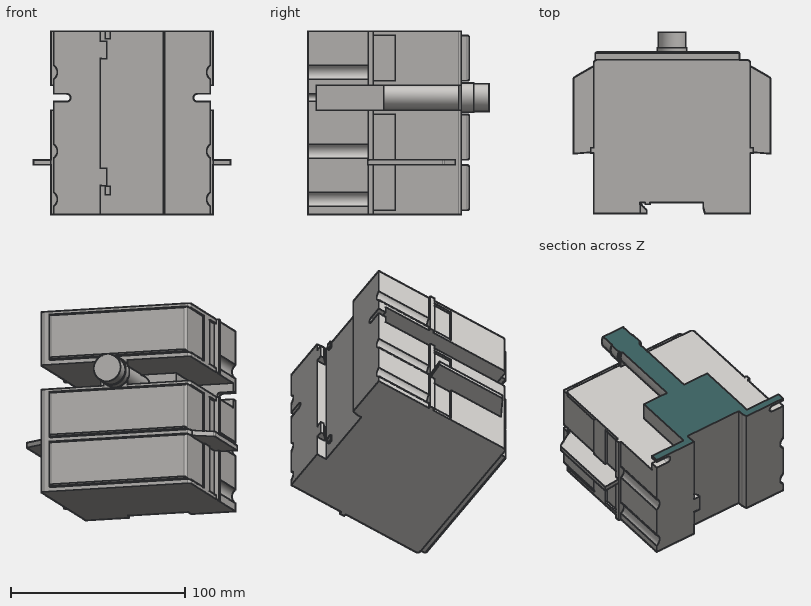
import cadquery as cq
import math


body_half_width = 45.0
body_depth = 88.0
body_height = 105.2
body_corner_radius = 1.9

axis_z = 67.0
channel_height = 14.2
channel_bottom = axis_z - channel_height / 2
back_wall = 4.7
core_half_width = 22.6
core_end = 43.4
flange_thickness = 1.5

knob_radius = 8.0
knob_tip = 104.0
collar_radius = 8.5
collar_tip = 95.0

cover_left = -44.1
cover_right = 38.8
cover_front = 92.7
cover_side_start = 60.9
cover_side_thickness = 2.3
cover_height = 26.1
cover_edge_radius = 1.5
cover_edge_chamfer = 0.9
cover_bottoms = (2.4, 31.4, 76.6)

rib_half_width = 46.4
rib_start = 34.7
rib_end = 37.6
pocket_end = 50.1
pocket_depth = 1.4

groove_half_height = 4.1
groove_depth = 2.1
groove_centers = (8.8, 36.4, 81.6)

plate_half_width = 56.5
plate_bottom = cover_bottoms[0] + cover_height
plate_thickness = cover_bottoms[1] - plate_bottom
plate_heel_root = 35.1
plate_heel_tip = 34.2
plate_tip = 77.9
plate_slope = math.radians(30)
plate_tip_radius = 1.4

slot_width = 4.3
slot_end = 35.3

notch_left = -18.3
notch_right = 17.9
notch_depth = 6.2
notch_flare = 0.9
notch_flare_depth = 3.5
tab_tip = -14.5
tab_tip_height = 1.9
tab_root_x = -17.6
tab_root_height = 5.2
tab_height = 10.1
tab_bottoms = (16.6, 89.4)
pad_left = -15.4
pad_right = -12.5
pad_face = 5.2
pad_spans = ((11.3, 16.2), (100.8, body_height))


def block(x_span, y_span, z_span):
    """Box between two limits along each axis."""
    size = [high - low for low, high in (x_span, y_span, z_span)]
    corner = (x_span[0], y_span[0], z_span[0])
    return cq.Workplane("XY").box(*size, centered=False).translate(corner)


def cylinder(radius, y_start, y_end):
    """Cylinder on the knob axis, parallel to Y."""
    plane = cq.Workplane("XZ", origin=(0, y_end, axis_z))
    return plane.circle(radius).extrude(y_end - y_start)


def both_sides(shape):
    """The shape together with its mirror image across the YZ plane."""
    return shape.union(shape.mirror("YZ"))


def make_body():
    body = block((-body_half_width, body_half_width), (0, body_depth), (0, body_height))
    body = body.edges(">Y and |Z").fillet(body_corner_radius)
    ribs = block((-rib_half_width, rib_half_width), (rib_start, rib_end), (0, body_height))
    return body.union(ribs)


def make_channel():
    """Channel across the full width, leaving a core behind the rail notch."""
    z_span = (channel_bottom, channel_bottom + channel_height)
    channel = block((-rib_half_width, rib_half_width), (back_wall, body_depth), z_span)
    return channel.cut(block((-core_half_width, core_half_width), (back_wall, core_end), z_span))


def make_operating_shaft():
    """Shaft, flange, collar and knob along the channel axis."""
    radius = channel_height / 2
    x_span = (-radius, radius)
    z_span = (channel_bottom, channel_bottom + channel_height)
    flange_start = body_depth - flange_thickness
    drive = cylinder(radius, core_end, flange_start)
    drive = drive.union(block(x_span, (flange_start, body_depth), z_span))
    drive = drive.union(cylinder(collar_radius, body_depth, collar_tip))
    return drive.union(cylinder(knob_radius, collar_tip, knob_tip))


def make_side_recess(bottom):
    """Space beside a cover, where the body side steps back to the cover face."""
    return block(
        (-body_half_width, cover_left),
        (cover_side_start, body_depth),
        (bottom, bottom + cover_height),
    )


def make_cover(bottom):
    z_span = (bottom, bottom + cover_height)
    front = block((cover_left, cover_right), (body_depth, cover_front), z_span)
    front = front.edges(">Y and |X").chamfer(cover_edge_chamfer)
    front = front.faces(">Y").edges("|Z").fillet(cover_edge_radius)
    side_x = (cover_left, cover_left + cover_side_thickness)
    return front.union(block(side_x, (cover_side_start, body_depth), z_span))


def make_terminal_pockets(bottom):
    pocket = block(
        (-body_half_width, -body_half_width + pocket_depth),
        (rib_end, pocket_end),
        (bottom, bottom + cover_height),
    )
    return both_sides(pocket)


def make_grooves(center_z):
    """Shallow arc-shaped grooves along Y in both sides."""
    x = -body_half_width
    groove = (
        cq.Workplane("XZ")
        .moveTo(x, center_z - groove_half_height)
        .threePointArc((x + groove_depth, center_z), (x, center_z + groove_half_height))
        .close()
        .extrude(-rib_start)
    )
    return both_sides(groove)


def make_separator_plate():
    slope_start = plate_tip + (plate_half_width - body_half_width) * math.tan(plate_slope)
    outline = [
        (0, plate_heel_root),
        (-body_half_width, plate_heel_root),
        (-plate_half_width, plate_heel_tip),
        (-plate_half_width, plate_tip),
        (-body_half_width, slope_start),
        (0, slope_start),
    ]
    plate = cq.Workplane("XY", origin=(0, 0, plate_bottom)).polyline(outline).close()
    plate = plate.extrude(plate_thickness)
    tip_edge_middle = (-plate_half_width, plate_tip, plate_bottom + plate_thickness / 2)
    tip_edge = cq.selectors.NearestToPointSelector(tip_edge_middle)
    return both_sides(plate.edges(tip_edge).fillet(plate_tip_radius))


def make_screw_slots():
    """Round-ended slots through the back wall, open to the sides."""
    round_center = slot_end + slot_width / 2
    outer_length = 2 * (body_half_width - round_center) + slot_width
    slot = (
        cq.Workplane("XZ", origin=(-body_half_width, 0, axis_z))
        .slot2D(outer_length, slot_width)
        .extrude(-back_wall)
    )
    return both_sides(slot)


def make_rail_notch():
    outline = [
        (notch_left, 0),
        (notch_left, notch_depth),
        (notch_right, notch_depth),
        (notch_right, notch_flare_depth),
        (notch_right + notch_flare, 0),
    ]
    return cq.Workplane("XY").polyline(outline).close().extrude(body_height)


def make_latch_tab(bottom):
    outline = [
        (notch_left, 0),
        (tab_tip, 0),
        (tab_tip, tab_tip_height),
        (tab_root_x, tab_root_height),
        (notch_left, tab_root_height),
    ]
    return cq.Workplane("XY", origin=(0, 0, bottom)).polyline(outline).close().extrude(tab_height)


result = make_body()
result = result.cut(make_channel()).cut(make_screw_slots()).cut(make_rail_notch())

for groove_center in groove_centers:
    result = result.cut(make_grooves(groove_center))

for cover_bottom in cover_bottoms:
    result = result.cut(make_side_recess(cover_bottom))
    result = result.cut(make_terminal_pockets(cover_bottom))
    result = result.union(make_cover(cover_bottom))

for tab_bottom in tab_bottoms:
    result = result.union(make_latch_tab(tab_bottom))

for pad_span in pad_spans:
    result = result.union(block((pad_left, pad_right), (pad_face, notch_depth), pad_span))

result = result.union(make_separator_plate()).union(make_operating_shaft())